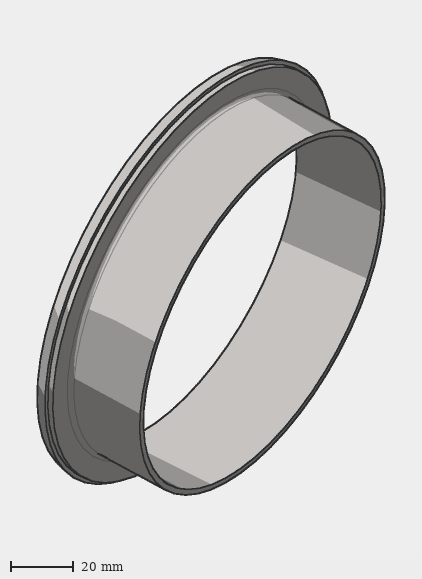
import cadquery as cq
import math

total_length = 34.0
bore_radius = 62.5
wall_thickness = 2.0
rim_radius = 75.0
rim_taper_angle = 15.0
rim_width = 4.0
step_radius = 73.5
step_width = 2.0
root_fillet = 1.5

sleeve_radius = bore_radius + wall_thickness
face_radius = rim_radius - rim_width * math.tan(math.radians(rim_taper_angle))
flange_width = rim_width + step_width
fillet_end_x = flange_width + root_fillet
fillet_top_radius = sleeve_radius + root_fillet
arc_offset = root_fillet * math.sin(math.radians(45))
fillet_middle = (fillet_end_x - arc_offset, fillet_top_radius - arc_offset)


def flanged_ring():
    """Revolve the half section (X along the axis, Z as radius) about the X axis."""
    section = (
        cq.Workplane("XZ")
        .moveTo(0, bore_radius)
        .lineTo(0, face_radius)
        .lineTo(rim_width, rim_radius)
        .lineTo(rim_width, step_radius)
        .lineTo(flange_width, step_radius)
        .lineTo(flange_width, fillet_top_radius)
        .threePointArc(fillet_middle, (fillet_end_x, sleeve_radius))
        .lineTo(total_length, sleeve_radius)
        .lineTo(total_length, bore_radius)
        .close()
    )
    return section.revolve(360, (0, 0, 0), (1, 0, 0))


result = flanged_ring()